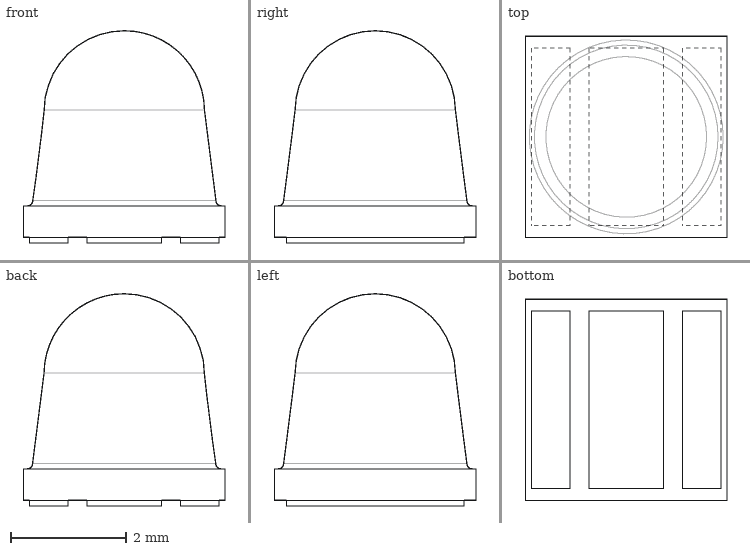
import cadquery as cq
import math

total_height = 3.69
board_side = 3.5

pad_thickness = 0.1
board_thickness = 0.55
pad_length = 3.085
center_pad_width = 1.3
side_pad_width = 0.67
side_pad_center = 1.31

cove_size = 0.09
wall_bottom_radius = 1.595
wall_top_radius = 1.395
dome_height = 1.38

board_top = pad_thickness + board_thickness
wall_bottom = board_top + cove_size
wall_top = total_height - dome_height
cove_radius = wall_bottom_radius + cove_size

dome_radius = (wall_top_radius**2 + dome_height**2) / (2 * dome_height)
dome_center = total_height - dome_radius


def make_board():
    board = cq.Workplane("XY").box(board_side, board_side, board_thickness, centered=(True, True, False))
    return board.translate((0, 0, pad_thickness))


def make_pad(center_x, width):
    pad = cq.Workplane("XY").box(width, pad_length, pad_thickness, centered=(True, True, False))
    return pad.translate((center_x, 0, 0))


def make_lens():
    diagonal = math.sqrt(0.5)
    cove_middle = (cove_radius - cove_size * diagonal, wall_bottom - cove_size * diagonal)
    dome_middle = (dome_radius * diagonal, dome_center + dome_radius * diagonal)
    profile = (
        cq.Workplane("XZ")
        .moveTo(0, board_top)
        .lineTo(cove_radius, board_top)
        .threePointArc(cove_middle, (wall_bottom_radius, wall_bottom))
        .lineTo(wall_top_radius, wall_top)
        .threePointArc(dome_middle, (0, total_height))
        .close()
    )
    return profile.revolve(360, (0, 0, 0), (0, 1, 0))


result = make_board().union(make_lens())
for center_x, width in (
    (-side_pad_center, side_pad_width),
    (0, center_pad_width),
    (side_pad_center, side_pad_width),
):
    result = result.union(make_pad(center_x, width))